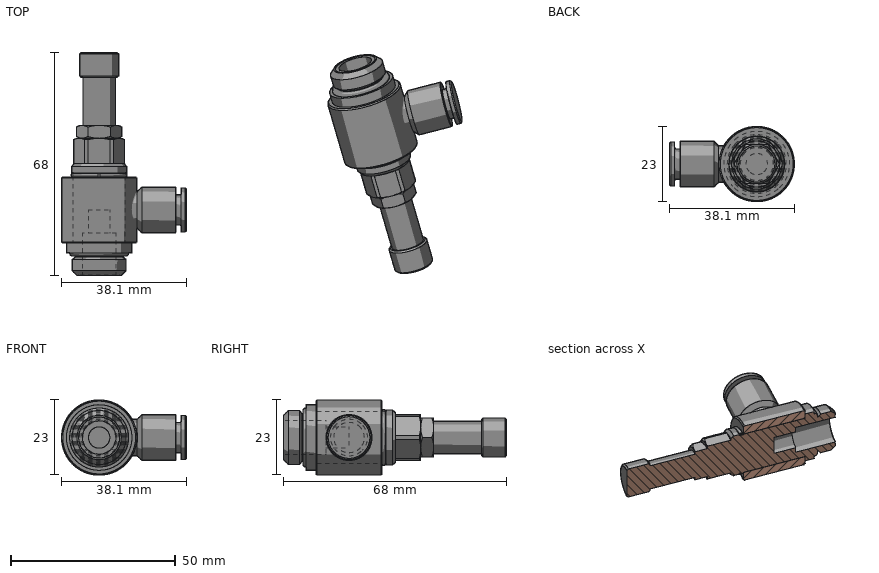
import cadquery as cq
import math


SLEEVE_DIA = 23.0
SLEEVE_HALF_LENGTH = 10.1
SLEEVE_CHAMFER = 0.4
SHAFT_DIA = 15.9

PORT_NECK_DIA = 11.2
PORT_NECK_FILLET = 0.3
PORT_DIA = 14.0
PORT_CONE_START = 11.6
PORT_END = 23.4
PORT_END_CHAMFER = 0.2
RELEASE_NECK_DIA = 9.3
RELEASE_FLANGE_DIA = 13.5
RELEASE_FLANGE_START = 25.0
RELEASE_END = 26.6
RELEASE_NECK_FILLET = 0.4
RELEASE_CHAMFER = 0.4

THREAD_END = -20.0
THREAD_DIA = 16.5
THREAD_TIP_DIA = 13.5
THREAD_TIP_LENGTH = (THREAD_DIA - THREAD_TIP_DIA) / 2
THREAD_START = -15.1
RELIEF_DIA = 14.5
RELIEF_CONE_LENGTH = 0.8
SEAL_DIA = 18.0
SEAL_END = -14.1
SEAL_RADIUS = 0.9
FLANGE_DIA = 20.0
FLANGE_END = -13.1
TIP_RECESS_DIA = 12.5
TIP_RECESS_DEPTH = 0.1
BORE_DIA = 10.25
BORE_DEPTH = 13.0
INNER_BORE_DIA = 6.5
INNER_BORE_DEPTH = 20.0

CLIP_WIRE_DIA = 1.0
CLIP_OUTER_DIA = 17.1
CLIP_GAP = 0.6
COLLAR_DIA = 16.85
COLLAR_START = 11.3
COLLAR_CONE_START = 13.2
COLLAR_TOP_DIA = 15.3
BODY_HEX_FLATS = 14.0
BODY_HEX_CORNER_DIA = 15.5
BODY_HEX_START = 14.2
LOCKNUT_FLATS = 12.0
LOCKNUT_START = 21.85
LOCKNUT_END = 25.8
HEX_CHAMFER_ANGLE = 30.0
STEM_DIA = 10.0
KNOB_DIA = 12.0
KNOB_START = 40.4
KNOB_END = 48.0
KNOB_CHAMFER = 0.5


def cylinder_y(diameter, start, end):
    """Round bar along Y between two Y positions."""
    return cq.Workplane("XZ", origin=(0, start, 0)).circle(diameter / 2).extrude(start - end)


def cylinder_x(diameter, start, end):
    """Round bar along X between two X positions."""
    return cq.Workplane("YZ", origin=(start, 0, 0)).circle(diameter / 2).extrude(end - start)


def cone_y(start_dia, end_dia, start, end):
    """Solid cone frustum along Y."""
    profile = [(0, start), (start_dia / 2, start), (end_dia / 2, end), (0, end)]
    return cq.Workplane("XY").polyline(profile).close().revolve(360, (0, 0), (0, 1))


def hexagon_y(flats, corner_dia, start, end, chamfer_start):
    """Hexagon bar along Y with corners on X, its ends coned down to the flats."""
    across_corners = flats / math.cos(math.pi / 6)
    bar = cq.Workplane("XZ", origin=(0, start, 0)).polygon(6, across_corners).extrude(start - end)
    drop = (corner_dia - flats) / 2 * math.tan(math.radians(HEX_CHAMFER_ANGLE))
    envelope = cone_y(corner_dia, flats, end - drop, end)
    if chamfer_start:
        envelope = envelope.union(cone_y(flats, corner_dia, start, start + drop))
        envelope = envelope.union(cylinder_y(corner_dia, start + drop, end - drop))
    else:
        envelope = envelope.union(cylinder_y(corner_dia, start, end - drop))
    return bar.intersect(envelope)


def edges_near_x(start, end):
    """Selector for edges centred between two X positions."""
    margin = 0.01
    return cq.selectors.BoxSelector(
        (start - margin, -SLEEVE_DIA, -SLEEVE_DIA),
        (end + margin, SLEEVE_DIA, SLEEVE_DIA))


def make_port():
    """Push-in port beyond the neck, with its release ring."""
    cone_length = (PORT_DIA - PORT_NECK_DIA) / 2
    port = cylinder_x(PORT_DIA, PORT_CONE_START, PORT_END)
    port = port.faces("<X").chamfer(cone_length).faces(">X").chamfer(PORT_END_CHAMFER)
    neck = cylinder_x(RELEASE_NECK_DIA, PORT_END, RELEASE_FLANGE_START)
    flange = cylinder_x(RELEASE_FLANGE_DIA, RELEASE_FLANGE_START, RELEASE_END)
    flange = flange.faces(">X").chamfer(RELEASE_CHAMFER)
    ring = neck.union(flange)
    ring = ring.edges(edges_near_x(RELEASE_FLANGE_START, RELEASE_FLANGE_START))
    ring = ring.edges(cq.selectors.RadiusNthSelector(0)).fillet(RELEASE_NECK_FILLET)
    return port.union(ring)


def make_elbow():
    """Bored sleeve with its side port."""
    sleeve = cylinder_y(SLEEVE_DIA, -SLEEVE_HALF_LENGTH, SLEEVE_HALF_LENGTH)
    sleeve = sleeve.faces("<Y or >Y").chamfer(SLEEVE_CHAMFER)
    elbow = sleeve.union(cylinder_x(PORT_NECK_DIA, 0, PORT_END))
    elbow = elbow.edges(edges_near_x(PORT_NECK_DIA / 2, PORT_CONE_START)).fillet(PORT_NECK_FILLET)
    elbow = elbow.union(make_port())
    return elbow.cut(cylinder_y(SHAFT_DIA, -SLEEVE_HALF_LENGTH, SLEEVE_HALF_LENGTH))


def make_threaded_end():
    """Flange, seal, relief groove and thread below the sleeve."""
    flange = cylinder_y(FLANGE_DIA, FLANGE_END, -SLEEVE_HALF_LENGTH)
    seal = cylinder_y(SEAL_DIA, SEAL_END, FLANGE_END).faces("<Y").edges().fillet(SEAL_RADIUS)
    relief = cylinder_y(RELIEF_DIA, THREAD_START, SEAL_END)
    relief_cone = cone_y(THREAD_DIA, RELIEF_DIA, THREAD_START, THREAD_START + RELIEF_CONE_LENGTH)
    thread = cylinder_y(THREAD_DIA, THREAD_END, THREAD_START).faces("<Y").chamfer(THREAD_TIP_LENGTH)
    return flange.union(seal).union(relief).union(relief_cone).union(thread)


def make_clip():
    """Snap ring of round wire, open at the +Z side."""
    clip_y = SLEEVE_HALF_LENGTH + CLIP_WIRE_DIA / 2
    ring_radius = (CLIP_OUTER_DIA - CLIP_WIRE_DIA) / 2
    wire = cq.Workplane("XY").center(-ring_radius, clip_y).circle(CLIP_WIRE_DIA / 2)
    ring = wire.revolve(360, (ring_radius, 0), (ring_radius, 1))
    gap = cq.Workplane("XY").box(CLIP_GAP, 2 * CLIP_WIRE_DIA, CLIP_OUTER_DIA, centered=(True, True, False))
    return ring.cut(gap.translate((0, clip_y, 0)))


def make_adjusting_end():
    """Collar, hexagons, stem and knob above the sleeve."""
    collar = cylinder_y(COLLAR_DIA, COLLAR_START, COLLAR_CONE_START)
    collar_cone = cone_y(COLLAR_DIA, COLLAR_TOP_DIA, COLLAR_CONE_START, BODY_HEX_START)
    body_hex = hexagon_y(BODY_HEX_FLATS, BODY_HEX_CORNER_DIA, BODY_HEX_START, LOCKNUT_START, False)
    locknut_corners = LOCKNUT_FLATS / math.cos(math.pi / 6)
    locknut = hexagon_y(LOCKNUT_FLATS, locknut_corners, LOCKNUT_START, LOCKNUT_END, True)
    stem = cylinder_y(STEM_DIA, LOCKNUT_END, KNOB_START)
    knob = cylinder_y(KNOB_DIA, KNOB_START, KNOB_END).faces("<Y or >Y").chamfer(KNOB_CHAMFER)
    return collar.union(collar_cone).union(body_hex).union(locknut).union(stem).union(knob)


def make_cartridge():
    """Shaft through the sleeve, with both ends and the stepped blind bore."""
    shaft = cylinder_y(SHAFT_DIA, -SLEEVE_HALF_LENGTH, COLLAR_START)
    cartridge = shaft.union(make_threaded_end()).union(make_clip()).union(make_adjusting_end())
    cartridge = cartridge.cut(cylinder_y(TIP_RECESS_DIA, THREAD_END, THREAD_END + TIP_RECESS_DEPTH))
    cartridge = cartridge.cut(cylinder_y(BORE_DIA, THREAD_END, THREAD_END + BORE_DEPTH))
    return cartridge.cut(cylinder_y(INNER_BORE_DIA, THREAD_END, THREAD_END + INNER_BORE_DEPTH))


elbow = make_elbow()
cartridge = make_cartridge()

result = cq.Compound.makeCompound([elbow.val(), cartridge.val()])